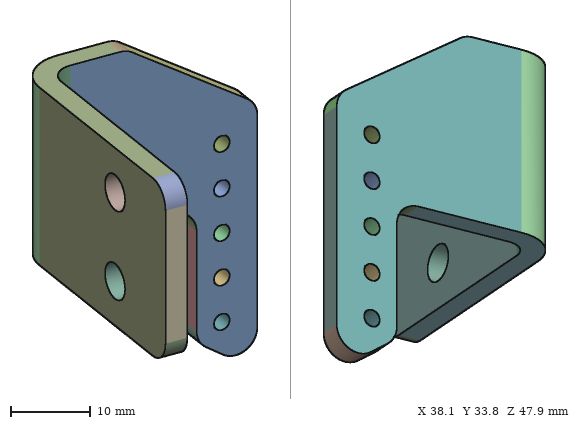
import cadquery as cq
import math

length_x = 38.1
depth_y = 33.78
height = 47.85

thickness = 3.2
bend_radius_inner = thickness
bend_radius_outer = bend_radius_inner + thickness
corner_radius = 3.2

flange_height = 25.4
flange_bottom = height - flange_height
mount_hole_diameter = 5.0
mount_hole_x = 25.4
mount_hole_pitch = 12.7
mount_hole_middle_z = height - flange_height / 2

strip_inner_y = 24.9
top_slope_start_y = 14.65
top_slope_end_z = height - 12.65
strip_slope_angle = math.radians(35)
strip_hole_diameter = 2.3
strip_hole_y = 28.55
strip_hole_top_z = height - 17.1
strip_hole_pitch = 6.35
strip_hole_count = 5

slope_outer_z = corner_radius - corner_radius * (1 + math.sin(strip_slope_angle)) / math.cos(strip_slope_angle)
slope_inner_z = slope_outer_z + (depth_y - strip_inner_y) * math.tan(strip_slope_angle)


def bent_sheet():
    """L-shaped sheet section, extruded over the full height and a little below."""
    section = (
        cq.Workplane("XY")
        .workplane(offset=slope_outer_z)
        .polyline([
            (0, 0),
            (length_x, 0),
            (length_x, thickness),
            (thickness, thickness),
            (thickness, depth_y),
            (0, depth_y),
        ])
        .close()
        .extrude(height - slope_outer_z)
    )
    outer_bend = cq.selectors.NearestToPointSelector((0, 0, height / 2))
    inner_bend = cq.selectors.NearestToPointSelector((thickness, thickness, height / 2))
    sheet = section.edges("|Z").edges(outer_bend).fillet(bend_radius_outer)
    return sheet.edges("|Z").edges(inner_bend).fillet(bend_radius_inner)


def side_outline():
    """Side flange and strip silhouette, extruded through the whole length."""
    outline = (
        cq.Workplane("YZ")
        .polyline([
            (0, flange_bottom),
            (strip_inner_y, flange_bottom),
            (strip_inner_y, slope_inner_z),
            (depth_y, slope_outer_z),
            (depth_y, top_slope_end_z),
            (top_slope_start_y, height),
            (0, height),
        ])
        .close()
        .extrude(length_x)
    )
    return outline.edges("|X").edges("not <Y").fillet(corner_radius)


def mount_corners(body):
    """Round the two free corners of the mounting flange."""
    return body.faces(">X").edges("|Y").fillet(corner_radius)


def mount_holes():
    return (
        cq.Workplane("XZ")
        .center(mount_hole_x, mount_hole_middle_z)
        .rarray(0.5, mount_hole_pitch, 1, 2)
        .circle(mount_hole_diameter / 2)
        .extrude(-thickness)
    )


def strip_holes():
    centers = [
        (strip_hole_y, strip_hole_top_z - i * strip_hole_pitch)
        for i in range(strip_hole_count)
    ]
    return (
        cq.Workplane("YZ")
        .pushPoints(centers)
        .circle(strip_hole_diameter / 2)
        .extrude(thickness)
    )


bracket = mount_corners(bent_sheet().intersect(side_outline()))
result = bracket.cut(mount_holes()).cut(strip_holes())